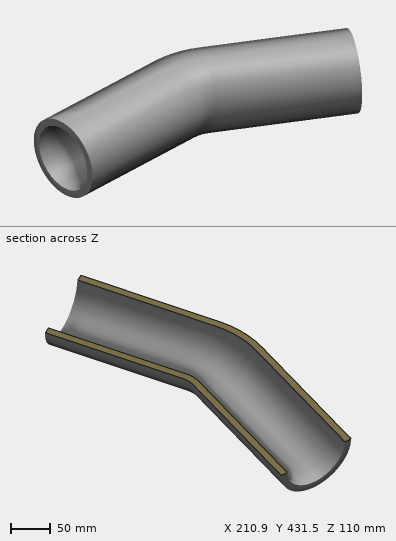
import cadquery as cq
import math

outer_diameter = 110.0
bore_diameter = 90.0
bend_angle = 30.0
bend_radius = 82.5
overall_length = 431.5

angle = math.radians(bend_angle)
bend_and_face_length = (bend_radius + outer_diameter / 2) * math.sin(angle)
leg_length = (overall_length - bend_and_face_length) / (1 + math.cos(angle))
bend_start = (0, leg_length)


def point_on_bend(turn):
    """Centreline point after turning by the given angle in radians."""
    return (
        bend_radius * (1 - math.cos(turn)),
        leg_length + bend_radius * math.sin(turn),
    )


bend_end = point_on_bend(angle)
far_end = (
    bend_end[0] + leg_length * math.sin(angle),
    bend_end[1] + leg_length * math.cos(angle),
)
centreline = (
    cq.Workplane("XY")
    .lineTo(*bend_start)
    .threePointArc(point_on_bend(angle / 2), bend_end)
    .lineTo(*far_end)
)

result = (
    cq.Workplane("XZ")
    .circle(outer_diameter / 2)
    .circle(bore_diameter / 2)
    .sweep(centreline)
)